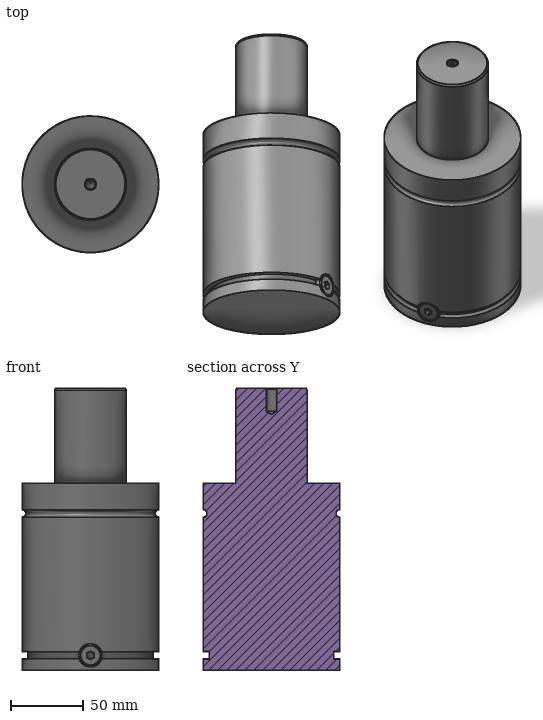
import cadquery as cq
import math

BODY_RADIUS = 95.0 / 2
BODY_HEIGHT = 130.0
ROD_RADIUS = 50.0 / 2
TOTAL_HEIGHT = 196.0
ROD_CHAMFER_WIDTH = 1.0
ROD_CHAMFER_HEIGHT = 1.5

ROUND_GROOVE_RADIUS = 2.5
ROUND_GROOVE_Z = BODY_HEIGHT - 21.0

BASE_FLANGE_HEIGHT = 8.0
BASE_GROOVE_WIDTH = 5.0
BASE_GROOVE_RADIUS = 43.5

PLUG_RADIUS = 16.0 / 2
PLUG_Z = BASE_FLANGE_HEIGHT + BASE_GROOVE_WIDTH / 2
PLUG_FACE_DISTANCE = 47.0
PLUG_CHAMFER_WIDTH = 1.2
PLUG_CHAMFER_DEPTH = 0.6
PLUG_DEPTH = 10.0
HEX_ACROSS_FLATS = 5.0
HEX_DEPTH = 4.0

ROD_HOLE_RADIUS = 6.8 / 2
ROD_HOLE_MOUTH_RADIUS = 8.0 / 2
ROD_HOLE_DEPTH = 16.0
DRILL_POINT_ANGLE = 118.0


def make_cylinder_body():
    """Revolve the body and rod about Z, with both ring grooves in the outline."""
    base_groove_top = BASE_FLANGE_HEIGHT + BASE_GROOVE_WIDTH
    return (
        cq.Workplane("XZ")
        .moveTo(0, 0)
        .lineTo(BODY_RADIUS, 0)
        .lineTo(BODY_RADIUS, BASE_FLANGE_HEIGHT)
        .lineTo(BASE_GROOVE_RADIUS, BASE_FLANGE_HEIGHT)
        .lineTo(BASE_GROOVE_RADIUS, base_groove_top)
        .lineTo(BODY_RADIUS, base_groove_top)
        .lineTo(BODY_RADIUS, ROUND_GROOVE_Z - ROUND_GROOVE_RADIUS)
        .threePointArc(
            (BODY_RADIUS - ROUND_GROOVE_RADIUS, ROUND_GROOVE_Z),
            (BODY_RADIUS, ROUND_GROOVE_Z + ROUND_GROOVE_RADIUS),
        )
        .lineTo(BODY_RADIUS, BODY_HEIGHT)
        .lineTo(ROD_RADIUS, BODY_HEIGHT)
        .lineTo(ROD_RADIUS, TOTAL_HEIGHT - ROD_CHAMFER_HEIGHT)
        .lineTo(ROD_RADIUS - ROD_CHAMFER_WIDTH, TOTAL_HEIGHT)
        .lineTo(0, TOTAL_HEIGHT)
        .close()
        .revolve(360, (0, 0, 0), (0, 1, 0))
    )


def side_plane(distance):
    """Plane facing -Y, centred on the plug axis at a distance from the body axis."""
    return cq.Workplane("XZ", origin=(0, -distance, PLUG_Z))


def fit_plug(body):
    """Replace a round pocket of the body wall with the chamfered hex-socket plug."""
    inner_distance = PLUG_FACE_DISTANCE - PLUG_DEPTH
    pocket = side_plane(inner_distance).circle(PLUG_RADIUS).extrude(BODY_RADIUS - inner_distance)
    chamfer_start = PLUG_FACE_DISTANCE - PLUG_CHAMFER_DEPTH
    plug = (
        cq.Workplane("XY", origin=(0, 0, PLUG_Z))
        .moveTo(0, -inner_distance)
        .lineTo(PLUG_RADIUS, -inner_distance)
        .lineTo(PLUG_RADIUS, -chamfer_start)
        .lineTo(PLUG_RADIUS - PLUG_CHAMFER_WIDTH, -PLUG_FACE_DISTANCE)
        .lineTo(0, -PLUG_FACE_DISTANCE)
        .close()
        .revolve(360, (0, 0, 0), (0, 1, 0))
    )
    hex_across_corners = HEX_ACROSS_FLATS / math.cos(math.pi / 6)
    socket = (
        side_plane(PLUG_FACE_DISTANCE - HEX_DEPTH)
        .transformed(rotate=(0, 0, 90))
        .polygon(6, hex_across_corners)
        .extrude(HEX_DEPTH)
    )
    return body.cut(pocket).union(plug.cut(socket))


def drill_rod_hole(body):
    """Drill the countersunk blind hole with a conical bottom on the rod axis."""
    point_length = ROD_HOLE_RADIUS / math.tan(math.radians(DRILL_POINT_ANGLE / 2))
    mouth_chamfer = ROD_HOLE_MOUTH_RADIUS - ROD_HOLE_RADIUS
    shoulder_z = TOTAL_HEIGHT - ROD_HOLE_DEPTH
    drill = (
        cq.Workplane("XZ")
        .moveTo(0, TOTAL_HEIGHT)
        .lineTo(ROD_HOLE_MOUTH_RADIUS, TOTAL_HEIGHT)
        .lineTo(ROD_HOLE_RADIUS, TOTAL_HEIGHT - mouth_chamfer)
        .lineTo(ROD_HOLE_RADIUS, shoulder_z)
        .lineTo(0, shoulder_z - point_length)
        .close()
        .revolve(360, (0, 0, 0), (0, 1, 0))
    )
    return body.cut(drill)


result = drill_rod_hole(fit_plug(make_cylinder_body()))